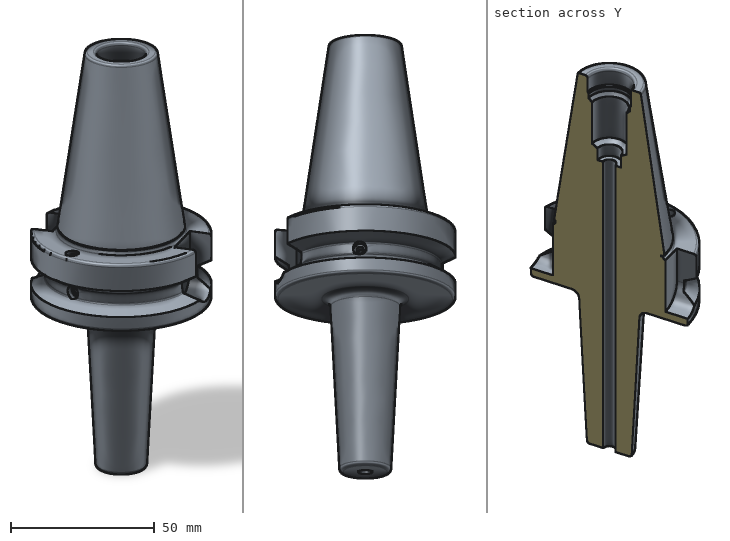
import cadquery as cq
import math


TOTAL_LENGTH = 155.4
TAPER_LENGTH = 65.5
GAUGE_RADIUS = 22.2
TAPER_RATIO = 7 / 24
TAPER_END_RADIUS = GAUGE_RADIUS - TAPER_LENGTH * TAPER_RATIO / 2
TAPER_END_FILLET = 1.0

NECK_RADIUS = 21.6
NECK_ROOT_FILLET = 1.1

FLANGE_RADIUS = 63.0 / 2
FLANGE_TOP_Z = -1.9
FLANGE_BOTTOM_Z = -27.0
FLANGE_EDGE_FILLET = 1.1
GROOVE_RADIUS = 26.5
GROOVE_CENTER_Z = -16.6
GROOVE_HALF_WIDTH = 9.8 / 2
GROOVE_WALL_ANGLE = 30
GROOVE_FLOOR_FILLET = 0.6
GROOVE_FLOOR_HALF_WIDTH = GROOVE_HALF_WIDTH - (FLANGE_RADIUS - GROOVE_RADIUS) * math.tan(
    math.radians(GROOVE_WALL_ANGLE)
)

NOSE_BOTTOM_Z = TAPER_LENGTH - TOTAL_LENGTH
NOSE_TIP_RADIUS = 9.0
NOSE_ANGLE = 3
NOSE_TIP_FILLET = 1.4
NOSE_ROOT_FILLET = 3.0
NOSE_ROOT_RADIUS = NOSE_TIP_RADIUS + (FLANGE_BOTTOM_Z - NOSE_BOTTOM_Z) * math.tan(math.radians(NOSE_ANGLE))

SLOT_WIDTH = 16.2
SLOT_FLOOR_X = 22.5
SLOT_BOTTOM_Z = -23.6

BORE_MOUTH_FILLET = 1.1
BORE_RADIUS = 8.5
BORE_DEPTH = 6.7
RELIEF_RADIUS = 8.2
RELIEF_LEAD_IN = 0.8
RELIEF_DEPTH = 9.2
THREAD_RADIUS = 6.8
THREAD_DEPTH = 28.0
DRILL_POINT_ANGLE = 118
POCKET_RADIUS = 4.7
POCKET_DEPTH = 34.2
THROUGH_RADIUS = 2.5

COOLANT_ANGLES = (70, 250)
INLET_PITCH_RADIUS = 26.9
INLET_TILT = 30
INLET_DIAMETER = 4.4
INLET_DEPTH = 2.6
PASSAGE_DIAMETER = 2.5
PLUG_DIAMETER = 4.7
PLUG_DEPTH = 2.3


def revolve_profile(profile):
    """Revolve a closed XZ outline about the Z axis."""
    return profile.close().revolve(360, (0, 0, 0), (0, 1, 0))


def ring_at(radius, z):
    """Select the circular edge that has this radius and height."""
    margin = 0.08

    def box(half_width):
        low = (-half_width, -half_width, z - margin)
        high = (half_width, half_width, z + margin)
        return cq.selectors.BoxSelector(low, high, boundingbox=True)

    return box(radius + margin) - box(radius - margin)


def body():
    outline = (
        cq.Workplane("XZ")
        .moveTo(0, TAPER_LENGTH)
        .lineTo(TAPER_END_RADIUS, TAPER_LENGTH)
        .lineTo(GAUGE_RADIUS, 0)
        .lineTo(NECK_RADIUS, NECK_RADIUS - GAUGE_RADIUS)
        .lineTo(NECK_RADIUS, FLANGE_TOP_Z)
        .lineTo(FLANGE_RADIUS, FLANGE_TOP_Z)
        .lineTo(FLANGE_RADIUS, GROOVE_CENTER_Z + GROOVE_HALF_WIDTH)
        .lineTo(GROOVE_RADIUS, GROOVE_CENTER_Z + GROOVE_FLOOR_HALF_WIDTH)
        .lineTo(GROOVE_RADIUS, GROOVE_CENTER_Z - GROOVE_FLOOR_HALF_WIDTH)
        .lineTo(FLANGE_RADIUS, GROOVE_CENTER_Z - GROOVE_HALF_WIDTH)
        .lineTo(FLANGE_RADIUS, FLANGE_BOTTOM_Z)
        .lineTo(NOSE_ROOT_RADIUS, FLANGE_BOTTOM_Z)
        .lineTo(NOSE_TIP_RADIUS, NOSE_BOTTOM_Z)
        .lineTo(0, NOSE_BOTTOM_Z)
    )
    solid = revolve_profile(outline)

    rounded_rings = (
        (TAPER_END_RADIUS, TAPER_LENGTH, TAPER_END_FILLET),
        (NECK_RADIUS, FLANGE_TOP_Z, NECK_ROOT_FILLET),
        (FLANGE_RADIUS, FLANGE_TOP_Z, FLANGE_EDGE_FILLET),
        (GROOVE_RADIUS, GROOVE_CENTER_Z + GROOVE_FLOOR_HALF_WIDTH, GROOVE_FLOOR_FILLET),
        (GROOVE_RADIUS, GROOVE_CENTER_Z - GROOVE_FLOOR_HALF_WIDTH, GROOVE_FLOOR_FILLET),
        (FLANGE_RADIUS, FLANGE_BOTTOM_Z, FLANGE_EDGE_FILLET),
        (NOSE_ROOT_RADIUS, FLANGE_BOTTOM_Z, NOSE_ROOT_FILLET),
        (NOSE_TIP_RADIUS, NOSE_BOTTOM_Z, NOSE_TIP_FILLET),
    )
    for radius, z, fillet in rounded_rings:
        solid = solid.edges(ring_at(radius, z)).fillet(fillet)
    return solid


def bore():
    mouth_radius = BORE_RADIUS + BORE_MOUTH_FILLET
    mouth_z = TAPER_LENGTH - BORE_MOUTH_FILLET
    bore_z = TAPER_LENGTH - BORE_DEPTH
    relief_z = TAPER_LENGTH - RELIEF_DEPTH
    seat_z = relief_z - (RELIEF_RADIUS - THREAD_RADIUS)
    thread_z = TAPER_LENGTH - THREAD_DEPTH
    point_drop = (THREAD_RADIUS - POCKET_RADIUS) / math.tan(math.radians(DRILL_POINT_ANGLE / 2))
    pocket_z = TAPER_LENGTH - POCKET_DEPTH
    outline = (
        cq.Workplane("XZ")
        .moveTo(0, TAPER_LENGTH)
        .lineTo(mouth_radius, TAPER_LENGTH)
        .radiusArc((BORE_RADIUS, mouth_z), -BORE_MOUTH_FILLET)
        .lineTo(BORE_RADIUS, bore_z)
        .lineTo(RELIEF_RADIUS, bore_z - RELIEF_LEAD_IN)
        .lineTo(RELIEF_RADIUS, relief_z)
        .lineTo(THREAD_RADIUS, seat_z)
        .lineTo(THREAD_RADIUS, thread_z)
        .lineTo(POCKET_RADIUS, thread_z - point_drop)
        .lineTo(POCKET_RADIUS, pocket_z)
        .lineTo(THROUGH_RADIUS, pocket_z)
        .lineTo(THROUGH_RADIUS, NOSE_BOTTOM_Z)
        .lineTo(0, NOSE_BOTTOM_Z)
    )
    return revolve_profile(outline)


def drive_slot(side):
    radius = SLOT_WIDTH / 2
    center_z = SLOT_BOTTOM_Z + radius
    return (
        cq.Workplane("YZ", origin=(side * SLOT_FLOOR_X, 0, 0))
        .moveTo(-radius, 0)
        .lineTo(-radius, center_z)
        .threePointArc((0, SLOT_BOTTOM_Z), (radius, center_z))
        .lineTo(radius, 0)
        .close()
        .extrude(side * FLANGE_RADIUS)
    )


def cylinder(start, direction, diameter, length):
    return cq.Workplane(obj=cq.Solid.makeCylinder(diameter / 2, length, start, direction))


def coolant_holes(angle):
    tilt = math.radians(INLET_TILT)
    mouth = cq.Vector(INLET_PITCH_RADIUS, 0, FLANGE_TOP_Z)
    inward = cq.Vector(-math.sin(tilt), 0, -math.cos(tilt))
    lead = INLET_DIAMETER / 2
    passage_length = (FLANGE_TOP_Z - GROOVE_CENTER_Z) / math.cos(tilt)
    meeting = mouth + inward * passage_length

    inlet = cylinder(mouth - inward * lead, inward, INLET_DIAMETER, lead + INLET_DEPTH)
    passage = cylinder(mouth, inward, PASSAGE_DIAMETER, passage_length)
    outward = cq.Vector(1, 0, 0)
    radial = cylinder(meeting, outward, PASSAGE_DIAMETER, GROOVE_RADIUS - meeting.x)
    plug_start = cq.Vector(GROOVE_RADIUS - PLUG_DEPTH, 0, GROOVE_CENTER_Z)
    plug = cylinder(plug_start, outward, PLUG_DIAMETER, FLANGE_RADIUS - plug_start.x)

    holes = inlet.union(passage).union(radial).union(plug)
    return holes.rotate((0, 0, 0), (0, 0, 1), angle)


result = body().cut(bore())
for side in (-1, 1):
    result = result.cut(drive_slot(side))
for angle in COOLANT_ANGLES:
    result = result.cut(coolant_holes(angle))